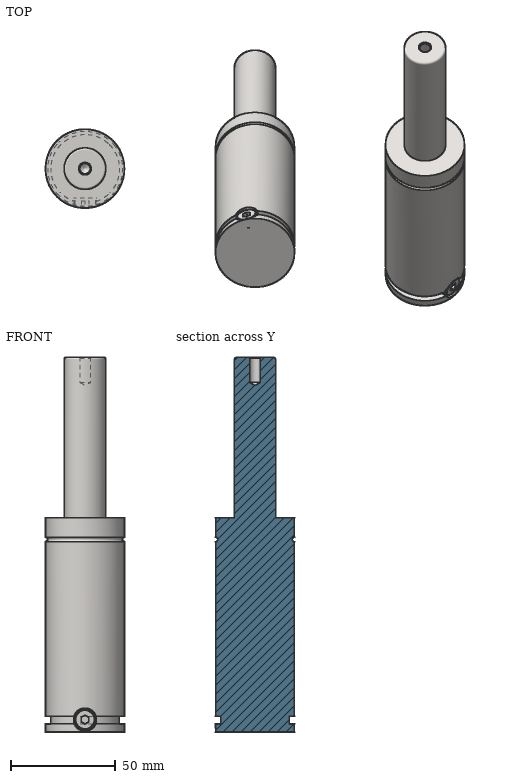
import cadquery as cq
import math

BODY_DIAMETER = 38.0
BODY_HEIGHT = 103.0

BASE_GROOVE_DIAMETER = 33.0
BASE_GROOVE_BOTTOM = 4.0
BASE_GROOVE_WIDTH = 3.5

HEAD_HEIGHT = 9.5
HEAD_GROOVE_RADIUS = 1.0

ROD_DIAMETER = 20.0
TOTAL_HEIGHT = 180.0
ROD_TIP_RADIUS = 1.0

ROD_HOLE_DIAMETER = 5.0
ROD_HOLE_MOUTH_DIAMETER = 6.0
ROD_HOLE_DEPTH = 12.0
DRILL_POINT_ANGLE = 118.0

PORT_HEIGHT = 6.0
PORT_DIAMETER = 11.0

PLUG_DIAMETER = 10.0
PLUG_CHAMFER = 0.5
PLUG_FACE_DISTANCE = 18.3
PLUG_LENGTH = 4.3
SOCKET_ACROSS_FLATS = 3.7
SOCKET_DEPTH = 3.0


def make_body():
    """Plain body cylinder with its two ring grooves."""
    body = cq.Workplane("XY").circle(BODY_DIAMETER / 2).extrude(BODY_HEIGHT)
    base_groove = (
        cq.Workplane("XY", origin=(0, 0, BASE_GROOVE_BOTTOM))
        .circle(BODY_DIAMETER / 2)
        .circle(BASE_GROOVE_DIAMETER / 2)
        .extrude(BASE_GROOVE_WIDTH)
    )
    head_groove_height = BODY_HEIGHT - HEAD_HEIGHT - HEAD_GROOVE_RADIUS
    head_groove = cq.Workplane(
        cq.Solid.makeTorus(
            BODY_DIAMETER / 2,
            HEAD_GROOVE_RADIUS,
            cq.Vector(0, 0, head_groove_height),
        )
    )
    return body.cut(base_groove).cut(head_groove)


def make_rod():
    """Piston rod above the body, with a rounded tip edge."""
    rod = (
        cq.Workplane("XY", origin=(0, 0, BODY_HEIGHT))
        .circle(ROD_DIAMETER / 2)
        .extrude(TOTAL_HEIGHT - BODY_HEIGHT)
    )
    return rod.faces(">Z").edges().fillet(ROD_TIP_RADIUS)


def make_rod_hole():
    """Revolved cutter for the hole in the rod tip."""
    hole_radius = ROD_HOLE_DIAMETER / 2
    mouth_radius = ROD_HOLE_MOUTH_DIAMETER / 2
    countersink_depth = mouth_radius - hole_radius
    hole_end = TOTAL_HEIGHT - ROD_HOLE_DEPTH
    point_length = hole_radius / math.tan(math.radians(DRILL_POINT_ANGLE / 2))
    return (
        cq.Workplane("XZ")
        .moveTo(0, TOTAL_HEIGHT)
        .lineTo(mouth_radius, TOTAL_HEIGHT)
        .lineTo(hole_radius, TOTAL_HEIGHT - countersink_depth)
        .lineTo(hole_radius, hole_end)
        .lineTo(0, hole_end - point_length)
        .close()
        .revolve()
    )


def port_plane(distance):
    """Workplane on the port axis, at a distance from the body axis towards -Y."""
    return cq.Workplane("XZ", origin=(0, -distance, PORT_HEIGHT))


def make_port():
    """Cutter for the port, reaching from the body surface to the back of the plug."""
    body_radius = BODY_DIAMETER / 2
    port_depth = body_radius - (PLUG_FACE_DISTANCE - PLUG_LENGTH)
    return port_plane(body_radius).circle(PORT_DIAMETER / 2).extrude(-port_depth)


def make_plug():
    """Plug standing in the port with a narrow ring gap around it."""
    plug = port_plane(PLUG_FACE_DISTANCE).circle(PLUG_DIAMETER / 2).extrude(-PLUG_LENGTH)
    plug = plug.faces("<Y").edges().chamfer(PLUG_CHAMFER)
    across_corners = SOCKET_ACROSS_FLATS / math.cos(math.pi / 6)
    socket = (
        port_plane(PLUG_FACE_DISTANCE)
        .transformed(rotate=(0, 0, 30))
        .polygon(6, across_corners)
        .extrude(-SOCKET_DEPTH)
    )
    return plug.cut(socket)


cylinder = make_body().cut(make_port()).union(make_plug())
rod = make_rod().cut(make_rod_hole())
result = cylinder.union(rod)